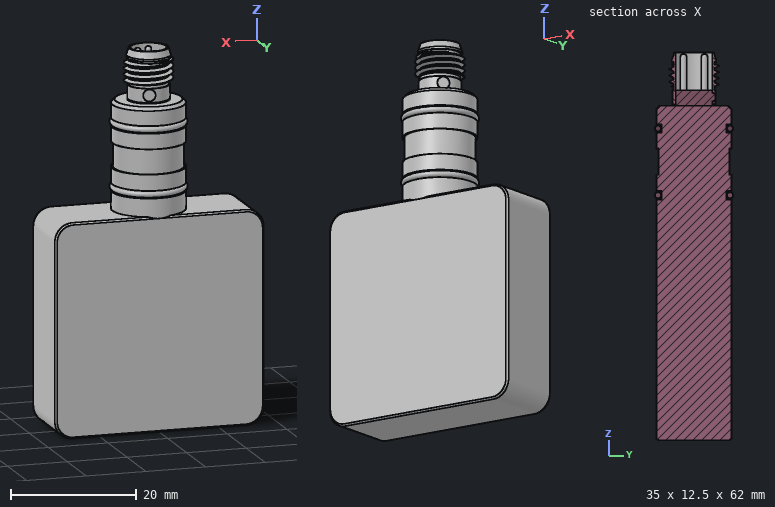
import cadquery as cq
import math

total_height = 62.0

block_width = 35.0
block_depth = 12.0
block_height = 35.5
block_corner_radius = 3.0
block_edge_chamfer = 0.3

stem_diameter = block_depth
stem_top = 53.5
stem_top_chamfer = 0.55
waist_diameter = 11.4
waist_bottom = 42.5
waist_top = 46.6

groove_floor_diameter = 10.5
groove_width = 1.3
groove_centers = (39.2, 49.85)
ring_outer_diameter = 12.5
ring_thickness = (ring_outer_diameter - groove_floor_diameter) / 2

neck_diameter = 6.9
neck_top = 56.0
core_diameter = 6.6
lip_diameter = 7.2
lip_bottom = 60.45
lip_top = 60.8
mouth_diameter = 6.4
bore_diameter = 5.8

thread_diameter = 8.0
thread_pitch = 1.0
thread_bottom = 56.55
thread_top = 60.1
thread_crest_at_x = 56.6
thread_root_overlap = 0.1
thread_half_angle = math.radians(30)

foot_height = 0.2
stud_height = 54.9
stud_end_radius = 3.35
stud_diameter = 2.0
stud_angles = (75, 195, 315)
pin_diameter = 1.0
pin_tip_height = 0.45
pin_top = 61.75
pin_positions = ((-0.5, 1.7), (-0.5, -1.7), (1.5, 1.05), (1.5, -1.05))

shell_bottom = stem_top + foot_height


def cylinder(diameter, bottom, top):
    """Solid cylinder on the Z axis between two heights."""
    return cq.Workplane("XY").workplane(offset=bottom).circle(diameter / 2).extrude(top - bottom)


def tube(outer_diameter, inner_diameter, bottom, top):
    """Hollow cylinder on the Z axis between two heights."""
    return cylinder(outer_diameter, bottom, top).cut(cylinder(inner_diameter, bottom, top))


def make_housing():
    """Rounded block and grooved stem in one piece."""
    block = (
        cq.Workplane("XY")
        .box(block_width, block_depth, block_height, centered=(True, True, False))
        .edges("|Y").fillet(block_corner_radius)
        .faces("<Y or >Y").chamfer(block_edge_chamfer)
    )
    stem = cylinder(stem_diameter, block_height - block_corner_radius, stem_top)
    stem = stem.faces(">Z").chamfer(stem_top_chamfer)
    stem = stem.cut(tube(ring_outer_diameter, waist_diameter, waist_bottom, waist_top))
    for center in groove_centers:
        groove_bottom = center - groove_width / 2
        groove_top = center + groove_width / 2
        stem = stem.cut(tube(ring_outer_diameter, groove_floor_diameter, groove_bottom, groove_top))
    return block.union(stem)


def make_sealing_ring(center):
    """O-ring lying on the floor of its groove."""
    middle_radius = (ring_outer_diameter - ring_thickness) / 2
    return (
        cq.Workplane("XZ")
        .center(middle_radius, center)
        .circle(ring_thickness / 2)
        .revolve(360, (-middle_radius, 0, 0), (-middle_radius, 1, 0))
    )


def make_thread():
    """Right-hand helical ridge with a sharp crest, cut off flat at both ends."""
    crest_radius = thread_diameter / 2
    root_radius = core_diameter / 2 - thread_root_overlap
    half_base = (crest_radius - root_radius) * math.tan(thread_half_angle)
    start = thread_crest_at_x - thread_pitch
    turns = math.ceil((thread_top - start) / thread_pitch) + 1
    helix = cq.Wire.makeHelix(thread_pitch, turns * thread_pitch, root_radius, cq.Vector(0, 0, start))
    ridge = (
        cq.Workplane("XZ")
        .moveTo(root_radius, start - half_base)
        .lineTo(crest_radius, start)
        .lineTo(root_radius, start + half_base)
        .close()
        .sweep(cq.Workplane(obj=helix), isFrenet=True)
    )
    return ridge.intersect(cylinder(2 * thread_diameter, thread_bottom, thread_top))


def make_studs(length):
    """Radial cylinders at stud height, starting on the Z axis."""
    studs = cq.Workplane("XY")
    for angle in stud_angles:
        stud = (
            cq.Workplane("YZ")
            .center(0, stud_height)
            .circle(stud_diameter / 2)
            .extrude(length)
            .rotate((0, 0, 0), (0, 0, 1), angle)
        )
        studs = studs.union(stud)
    return studs


def make_shell():
    """Threaded sleeve standing on the foot of the insert, open through its full height."""
    shell = (
        cq.Workplane("XZ")
        .moveTo(0, shell_bottom)
        .lineTo(neck_diameter / 2, shell_bottom)
        .lineTo(neck_diameter / 2, neck_top)
        .lineTo(core_diameter / 2, neck_top)
        .lineTo(core_diameter / 2, lip_bottom)
        .lineTo(lip_diameter / 2, lip_bottom)
        .lineTo(lip_diameter / 2, lip_top)
        .lineTo(mouth_diameter / 2, total_height)
        .lineTo(0, total_height)
        .close()
        .revolve(360, (0, 0, 0), (0, 1, 0))
    )
    shell = shell.union(make_thread())
    shell = shell.cut(cylinder(bore_diameter, shell_bottom, total_height))
    return shell.cut(make_studs(neck_diameter))


def make_pin(x, y):
    """Contact pin with a domed tip."""
    tip_base = pin_top - pin_tip_height
    pin_radius = pin_diameter / 2
    tip_radius = (pin_radius**2 + pin_tip_height**2) / (2 * pin_tip_height)
    tip_center = pin_top - tip_radius
    half_arc_angle = math.asin(pin_radius / tip_radius) / 2
    arc_middle = (tip_radius * math.sin(half_arc_angle), tip_center + tip_radius * math.cos(half_arc_angle))
    return (
        cq.Workplane("XZ")
        .moveTo(0, neck_top)
        .lineTo(pin_radius, neck_top)
        .lineTo(pin_radius, tip_base)
        .threePointArc(arc_middle, (0, pin_top))
        .close()
        .revolve(360, (0, 0, 0), (0, 1, 0))
        .translate((x, y, 0))
    )


def make_insert():
    """Footed disc filling the neck, with studs that lock it into the shell and four contact pins."""
    foot = cylinder(neck_diameter, stem_top, shell_bottom)
    insert = foot.union(cylinder(bore_diameter, shell_bottom, neck_top))
    insert = insert.union(make_studs(stud_end_radius))
    for x, y in pin_positions:
        insert = insert.union(make_pin(x, y))
    return insert


housing = make_housing()
sealing_rings = [make_sealing_ring(center) for center in groove_centers]
shell = make_shell()
insert = make_insert()

result = cq.Compound.makeCompound(
    [housing.val(), *[ring.val() for ring in sealing_rings], shell.val(), insert.val()]
)